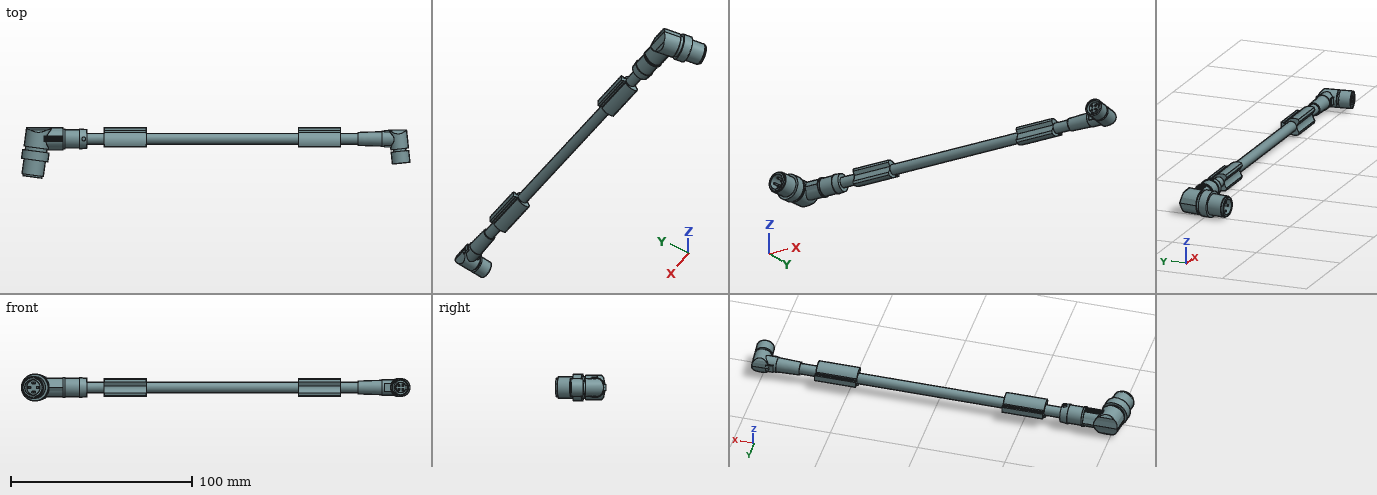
import cadquery as cq
import math


CABLE_RADIUS = 3.0

TRIM_ALLOWANCE = 2.1

CLIP_LENGTH = 23.4
FIRST_CLIP_X = 45.5
CLIP_SPACING = 107.3
CLIP_COUNT = 2
PLATE_BACK_Y = 6.2
PLATE_FRONT_Y = 4.7
PLATE_HALF_HEIGHT = 1.7
CLIP_NECK_HALF_HEIGHT = 1.3
SHELL_BACK_Y = 3.5
SHELL_BACK_HALF_HEIGHT = 2.1
SHELL_PEAK_Y = -1.5
SHELL_PEAK_HALF_HEIGHT = 5.0
SHELL_FRONT_Y = -4.0
SHELL_FRONT_HALF_HEIGHT = 4.5
JAW_TIP_Y = -4.5
JAW_TIP_Z = 3.0
MOUTH_FLOOR_Y = -3.2
MOUTH_FLOOR_Z = 0.9
MOUTH_HOLLOW_Y = -3.5
MOUTH_HOLLOW_Z = -1.0

PLUG_AXIS_X = 8.8
PLUG_TILT = -7.7
PLUG_BACK = 6.2
PLUG_RIDGE_DROP = 0.9
PLUG_CORNER_Y = 5.0
PLUG_CORNER_HALF_HEIGHT = 5.4
PLUG_SIDE_Y = 3.6
PLUG_BODY_RADIUS = 6.9
PLUG_BODY_END = 5.0
PLUG_NECK_RADIUS = 6.0
PLUG_RING_RADIUS = 14.8 / 2
PLUG_RING_START = 6.9
PLUG_RING_END = 11.8
PLUG_NOSE_RADIUS = 6.0
PLUG_TIP_RADIUS = 5.4
PLUG_TIP_LENGTH = 1.0
PLUG_END = 21.2
PLUG_BORE_RADIUS = 4.3
PLUG_BORE_DEPTH = 8.5
PIN_COUNT = 4
PIN_RADIUS = 0.54
PIN_CIRCLE_RADIUS = 2.5
PIN_LENGTH = 7.5
FIRST_PIN_ANGLE = 0
KEEL_HALF_WIDTH = 3.0

PLUG_ARM_RADIUS = 5.2
PLUG_ARM_END = 36.0
COLLAR_RADIUS = 5.5
COLLAR_START = 22.7
COLLAR_END = 23.8
ARM_TAPER_START = 32.0
ARM_KEEL_PEAK_Y = PLUG_BACK
ARM_KEEL_SHOULDER_Y = 4.0
GRIP_START = 12.5
GRIP_END = COLLAR_START
GRIP_GROOVE_COUNT = 4
GRIP_GROOVE_PITCH = 0.9
GRIP_GROOVE_WIDTH = 0.5
GRIP_GROOVE_DEPTH = 0.6
DIMPLE_X = 34.3
DIMPLE_RADIUS = 1.0
DIMPLE_DEPTH = 0.6

SOCKET_AXIS_X = 208.2
SOCKET_TILT = 6.0
SOCKET_BACK = 5.0
SOCKET_RIDGE_DROP = 0.5
SOCKET_CORNER_Y = 3.9
SOCKET_CORNER_HALF_HEIGHT = 3.6
SOCKET_SIDE_Y = 2.8
SOCKET_RIDGE_HALF_WIDTH = 2.1
SOCKET_BODY_RADIUS = 5.0
SOCKET_BODY_END = 5.5
SOCKET_NECK_RADIUS = 3.5
SOCKET_NUT_RADIUS = 5.0
SOCKET_NUT_START = 6.9
SOCKET_END = 13.5
SOCKET_BORE_RADIUS = 4.0
SOCKET_BORE_DEPTH = 5.4
SOCKET_CORE_RADIUS = 2.8
SOCKET_CORE_SETBACK = 0.2
CONTACT_COUNT = 4
CONTACT_RADIUS = 0.54
CONTACT_CIRCLE_RADIUS = 1.5
CONTACT_DEPTH = 3.2
FIRST_CONTACT_ANGLE = 45

BOOT_START = 185.9
BOOT_END = 199.0
BOOT_START_RADIUS = 3.6
BOOT_END_RADIUS = 4.0
SOCKET_ARM_RADIUS = 4.3
PANEL_START = 200.5
PANEL_END = 204.5
PANEL_HALF_HEIGHT = 2.1
PANEL_FRONT_Y = -4.5
PANEL_BACK_Y = 4.7


def rod_along_x(radius, start, end):
    """Cylinder on the cable axis."""
    return cq.Workplane("YZ").workplane(offset=start).circle(radius).extrude(end - start)


def cone_along_x(start_radius, end_radius, start, end):
    """Tapered rod on the cable axis."""
    return (
        cq.Workplane("YZ")
        .workplane(offset=start)
        .circle(start_radius)
        .workplane(offset=end - start)
        .circle(end_radius)
        .loft()
    )


def rod_down(radius, start, end):
    """Cylinder along -Y between two distances from the cable axis."""
    return cq.Workplane("XZ").workplane(offset=start).circle(radius).extrude(end - start)


def ring_of_rods(count, circle_radius, rod_radius, first_angle, start, end):
    """Equal cylinders along -Y, spaced evenly round the head axis."""
    return (
        cq.Workplane("XZ")
        .workplane(offset=start)
        .polarArray(circle_radius, first_angle, 360, count)
        .circle(rod_radius)
        .extrude(end - start)
    )


def place_head(head, axis_x, tilt):
    """Tilt a head about Z and move it to its place along the cable."""
    return head.rotate((0, 0, 0), (0, 0, 1), tilt).translate((axis_x, 0, 0))


def trim_back(body, axis_x, radius, ridge_and_flats):
    """Trim the +Y end of a placed head body to a ridge along X.

    ridge_and_flats lists (Y, Z) points from the ridge outwards on the +Z side.
    """
    side_y = ridge_and_flats[-1][0]
    upper = ridge_and_flats + [(side_y - radius, 2 * radius), (-2 * radius, 2 * radius)]
    lower = [(y, -z) for y, z in reversed(upper[1:])]
    envelope = cq.Workplane("YZ").workplane(offset=axis_x).polyline(upper + lower).close()
    return body.intersect(envelope.extrude(2 * radius, both=True))


def label_clip(start):
    """Curved jaws that grip the cable from -Y, with a label rail on the +Y side."""
    profile = (
        cq.Workplane("YZ")
        .workplane(offset=start)
        .moveTo(PLATE_BACK_Y, -PLATE_HALF_HEIGHT)
        .lineTo(PLATE_BACK_Y, PLATE_HALF_HEIGHT)
        .lineTo(PLATE_FRONT_Y, PLATE_HALF_HEIGHT)
        .lineTo(PLATE_FRONT_Y, CLIP_NECK_HALF_HEIGHT)
        .lineTo(SHELL_BACK_Y, CLIP_NECK_HALF_HEIGHT)
        .lineTo(SHELL_BACK_Y, SHELL_BACK_HALF_HEIGHT)
        .threePointArc(
            (SHELL_PEAK_Y, SHELL_PEAK_HALF_HEIGHT), (SHELL_FRONT_Y, SHELL_FRONT_HALF_HEIGHT)
        )
        .lineTo(JAW_TIP_Y, JAW_TIP_Z)
        .lineTo(MOUTH_FLOOR_Y, MOUTH_FLOOR_Z)
        .threePointArc((MOUTH_HOLLOW_Y, MOUTH_HOLLOW_Z), (JAW_TIP_Y, -JAW_TIP_Z))
        .lineTo(SHELL_FRONT_Y, -SHELL_FRONT_HALF_HEIGHT)
        .threePointArc(
            (SHELL_PEAK_Y, -SHELL_PEAK_HALF_HEIGHT), (SHELL_BACK_Y, -SHELL_BACK_HALF_HEIGHT)
        )
        .lineTo(SHELL_BACK_Y, -CLIP_NECK_HALF_HEIGHT)
        .lineTo(PLATE_FRONT_Y, -CLIP_NECK_HALF_HEIGHT)
        .lineTo(PLATE_FRONT_Y, -PLATE_HALF_HEIGHT)
        .close()
    )
    return profile.extrude(CLIP_LENGTH)


def plug_body():
    """Round body with a shallow ridge of two flats on its -X side and a ridged back."""
    flat_x = -math.sqrt(PLUG_BODY_RADIUS**2 - KEEL_HALF_WIDTH**2)
    blank_length = PLUG_BACK + PLUG_BODY_END + TRIM_ALLOWANCE
    body = (
        cq.Workplane("XZ")
        .workplane(offset=PLUG_BODY_END)
        .moveTo(flat_x, KEEL_HALF_WIDTH)
        .threePointArc((PLUG_BODY_RADIUS, 0), (flat_x, -KEEL_HALF_WIDTH))
        .lineTo(-PLUG_BODY_RADIUS, 0)
        .close()
        .extrude(-blank_length)
    )
    body = place_head(body, PLUG_AXIS_X, PLUG_TILT)
    back = [
        (PLUG_BACK, 0),
        (PLUG_BACK - PLUG_RIDGE_DROP, KEEL_HALF_WIDTH),
        (PLUG_CORNER_Y, PLUG_CORNER_HALF_HEIGHT),
        (PLUG_SIDE_Y, PLUG_BODY_RADIUS),
    ]
    return trim_back(body, PLUG_AXIS_X, PLUG_BODY_RADIUS, back)


def plug_nose():
    """Neck, coupling ring and hollow nose with contact pins."""
    bore_floor = PLUG_END - PLUG_BORE_DEPTH
    nose = (
        rod_down(PLUG_NECK_RADIUS, 0, PLUG_RING_START)
        .union(rod_down(PLUG_RING_RADIUS, PLUG_RING_START, PLUG_RING_END))
        .union(rod_down(PLUG_NOSE_RADIUS, PLUG_RING_END, PLUG_END - PLUG_TIP_LENGTH))
        .union(rod_down(PLUG_TIP_RADIUS, PLUG_END - PLUG_TIP_LENGTH, PLUG_END))
        .cut(rod_down(PLUG_BORE_RADIUS, bore_floor, PLUG_END))
    )
    pins = ring_of_rods(
        PIN_COUNT,
        PIN_CIRCLE_RADIUS,
        PIN_RADIUS,
        FIRST_PIN_ANGLE,
        bore_floor,
        bore_floor + PIN_LENGTH,
    )
    return place_head(nose.union(pins), PLUG_AXIS_X, PLUG_TILT)


def plug_arm():
    """Arm with a collar, a tapered end, ridged +Y and -Y sides and a dimple."""
    arm = rod_along_x(PLUG_ARM_RADIUS, PLUG_AXIS_X, ARM_TAPER_START)
    keel = (
        cq.Workplane("YZ")
        .workplane(offset=PLUG_AXIS_X)
        .moveTo(ARM_KEEL_PEAK_Y, 0)
        .lineTo(ARM_KEEL_SHOULDER_Y, KEEL_HALF_WIDTH)
        .lineTo(-ARM_KEEL_SHOULDER_Y, KEEL_HALF_WIDTH)
        .lineTo(-ARM_KEEL_PEAK_Y, 0)
        .lineTo(-ARM_KEEL_SHOULDER_Y, -KEEL_HALF_WIDTH)
        .lineTo(ARM_KEEL_SHOULDER_Y, -KEEL_HALF_WIDTH)
        .close()
        .extrude(GRIP_END - PLUG_AXIS_X)
    )
    collar = rod_along_x(COLLAR_RADIUS, COLLAR_START, COLLAR_END)
    taper = cone_along_x(COLLAR_RADIUS, PLUG_ARM_RADIUS, ARM_TAPER_START, PLUG_ARM_END)
    dimple = (
        cq.Workplane("XY")
        .workplane(offset=PLUG_ARM_RADIUS - DIMPLE_DEPTH)
        .center(DIMPLE_X, 0)
        .circle(DIMPLE_RADIUS)
        .extrude(2 * DIMPLE_DEPTH)
    )
    return arm.union(keel).union(collar).union(taper).cut(dimple)


def cut_grip(plug):
    """Cut the row of grip grooves into the top of the arm, running into the head."""
    groove = cq.Workplane("XY").box(
        GRIP_END - GRIP_START, GRIP_GROOVE_WIDTH, PLUG_BODY_RADIUS, centered=(False, True, False)
    )
    groove_floor = PLUG_ARM_RADIUS - GRIP_GROOVE_DEPTH
    for i in range(GRIP_GROOVE_COUNT):
        y = (i - (GRIP_GROOVE_COUNT - 1) / 2) * GRIP_GROOVE_PITCH
        plug = plug.cut(groove.translate((GRIP_START, y, groove_floor)))
    return plug


def socket_body():
    """Round body with a ridged back."""
    body = rod_down(SOCKET_BODY_RADIUS, -SOCKET_BACK - TRIM_ALLOWANCE, SOCKET_BODY_END)
    body = place_head(body, SOCKET_AXIS_X, SOCKET_TILT)
    back = [
        (SOCKET_BACK, 0),
        (SOCKET_BACK - SOCKET_RIDGE_DROP, SOCKET_RIDGE_HALF_WIDTH),
        (SOCKET_CORNER_Y, SOCKET_CORNER_HALF_HEIGHT),
        (SOCKET_SIDE_Y, SOCKET_BODY_RADIUS),
    ]
    return trim_back(body, SOCKET_AXIS_X, SOCKET_BODY_RADIUS, back)


def socket_nose():
    """Neck and hollow nut around a core with contact holes."""
    core_end = SOCKET_END - SOCKET_CORE_SETBACK
    bore_floor = SOCKET_END - SOCKET_BORE_DEPTH
    nose = (
        rod_down(SOCKET_NECK_RADIUS, 0, SOCKET_NUT_START)
        .union(rod_down(SOCKET_NUT_RADIUS, SOCKET_NUT_START, SOCKET_END))
        .cut(rod_down(SOCKET_BORE_RADIUS, bore_floor, SOCKET_END))
        .union(rod_down(SOCKET_CORE_RADIUS, bore_floor, core_end))
    )
    contacts = ring_of_rods(
        CONTACT_COUNT,
        CONTACT_CIRCLE_RADIUS,
        CONTACT_RADIUS,
        FIRST_CONTACT_ANGLE,
        core_end - CONTACT_DEPTH,
        core_end,
    )
    return place_head(nose.cut(contacts), SOCKET_AXIS_X, SOCKET_TILT)


def socket_arm():
    """Boot and arm along the cable, with flat panels on the -Y and +Y sides."""
    boot = cone_along_x(BOOT_START_RADIUS, BOOT_END_RADIUS, BOOT_START, BOOT_END)
    arm = rod_along_x(SOCKET_ARM_RADIUS, BOOT_END, SOCKET_AXIS_X)
    panel = (
        cq.Workplane("XY")
        .box(
            PANEL_END - PANEL_START,
            PANEL_BACK_Y - PANEL_FRONT_Y,
            2 * PANEL_HALF_HEIGHT,
            centered=(False, False, True),
        )
        .translate((PANEL_START, PANEL_FRONT_Y, 0))
    )
    return boot.union(arm).union(panel)


cable = rod_along_x(CABLE_RADIUS, PLUG_ARM_END, BOOT_START)
for i in range(CLIP_COUNT):
    cable = cable.union(label_clip(FIRST_CLIP_X + i * CLIP_SPACING))

plug = cut_grip(plug_arm().union(plug_body()).union(plug_nose()))
socket = socket_arm().union(socket_body()).union(socket_nose())

result = cable.union(plug).union(socket)